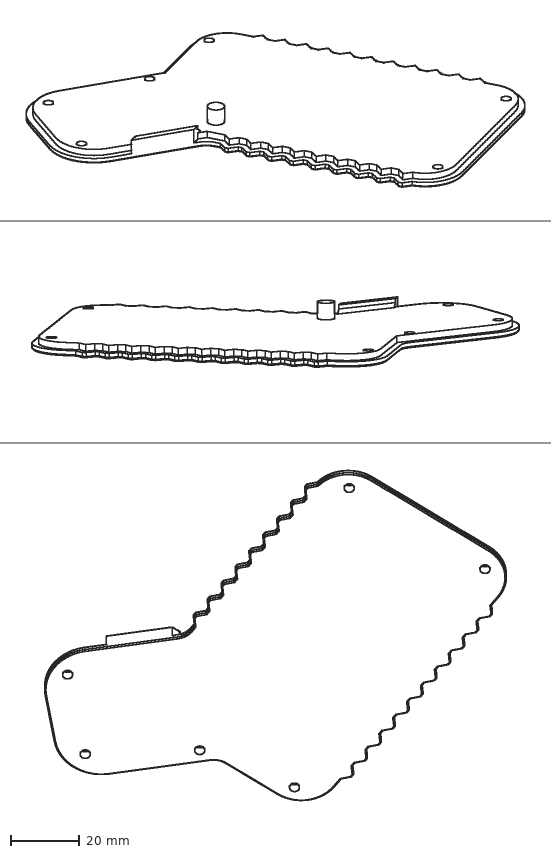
import cadquery as cq

BASE_TOP = 1.6
DECK_TOP = 3.6
TAB_TOP = 6.0
PIN_TOP = 8.5

STEP = 2.0
UNDERSIDE_CHAMFER = 0.4
NECK_FILLET = 6.0

BODY_LEFT = 27.1 + STEP
BODY_RIGHT = 133.5 - STEP
BODY_BOTTOM = 25.4 + STEP
BODY_TOP = 91.7 - STEP
BODY_RADIUS = 10.0
HANDLE_RADIUS = 12.0
HANDLE_LEFT_CORNER = (14.0, 25.6)
HANDLE_CORNER_SHIFT = 11.6
HANDLE_LENGTH = 64.1

TOOTH_HEIGHT = 2.0
TOOTH_FLANK = 2.3
BASE_TOOTH_TIP = 1.2
TOP_TEETH = 11
TOP_FIRST_TOOTH = 45.3
TOP_LAST_TOOTH = 115.0
TOOTH_PITCH = (TOP_LAST_TOOTH - TOP_FIRST_TOOTH) / (TOP_TEETH - 1)
BOTTOM_TEETH = 9
BOTTOM_FIRST_TOOTH = 64.0

SCREW_HOLE = 3.0
SCREW_POINTS = [
    (32.2, 82.3),
    (127.3, 82.7),
    (127.3, 33.7),
    (26.6, 52.1),
    (5.9, 25.6),
    (25.6, 5.1),
]

PIN_DIAMETER = 5.1
PIN_POINT = (55.7, 34.5)

TAB_LEFT = 40.0
TAB_RIGHT = 54.0
TAB_FOOT = 1.2

ROOT2 = 2 ** 0.5


def rounded_block(length, width, radius, height):
    """Centred block with rounded upright edges."""
    return cq.Workplane("XY").rect(length, width).extrude(height).edges("|Z").fillet(radius)


def body_block(margin, height):
    """Main body, grown outwards by the margin."""
    length = BODY_RIGHT - BODY_LEFT + 2 * margin
    width = BODY_TOP - BODY_BOTTOM + 2 * margin
    centre = ((BODY_LEFT + BODY_RIGHT) / 2, (BODY_BOTTOM + BODY_TOP) / 2, 0)
    return rounded_block(length, width, BODY_RADIUS + margin, height).translate(centre)


def handle_block(margin, height):
    """Handle, grown outwards by the margin and pointing up and right into the body."""
    radius = HANDLE_RADIUS + margin
    width = HANDLE_CORNER_SHIFT * ROOT2 + 2 * radius
    tip_x = HANDLE_LEFT_CORNER[0] + HANDLE_CORNER_SHIFT / 2
    tip_y = HANDLE_LEFT_CORNER[1] - HANDLE_CORNER_SHIFT / 2
    return (
        rounded_block(HANDLE_LENGTH, width, radius, height)
        .translate((HANDLE_LENGTH / 2 - radius, 0, 0))
        .rotate((0, 0, 0), (0, 0, 1), 45)
        .translate((tip_x, tip_y, 0))
    )


def tooth(x, edge_y, outward, margin, height):
    """One tooth on a body edge: sharp on the deck, blunt on the grown base plate."""
    tip_half = BASE_TOOTH_TIP / 2 if margin else 0
    root_half = tip_half + 2 * TOOTH_FLANK
    root_y = edge_y + outward * (margin - TOOTH_HEIGHT)
    tip_y = edge_y + outward * (margin + TOOTH_HEIGHT)
    outline = [(x - root_half, root_y), (x + root_half, root_y), (x + tip_half, tip_y)]
    if tip_half:
        outline.append((x - tip_half, tip_y))
    return cq.Workplane("XY").polyline(outline).close().extrude(height)


def plate(margin, height, neck_fillet):
    """Body, handle and teeth, grown outwards by the margin; a neck_fillet of 0 leaves the neck sharp."""
    shape = body_block(margin, height).union(handle_block(margin, height))
    if neck_fillet:
        for x, y in neck_corners(margin):
            corner = cq.selectors.NearestToPointSelector((x, y, height / 2))
            shape = shape.edges("|Z").edges(corner).fillet(neck_fillet)
    for i in range(TOP_TEETH):
        shape = shape.union(tooth(TOP_FIRST_TOOTH + i * TOOTH_PITCH, BODY_TOP, 1, margin, height))
    for i in range(BOTTOM_TEETH):
        shape = shape.union(tooth(BOTTOM_FIRST_TOOTH + i * TOOTH_PITCH, BODY_BOTTOM, -1, margin, height))
    return shape


def handle_side(margin):
    """Distance, measured along Y, from a handle corner centre to the nearby side."""
    return (HANDLE_RADIUS + margin) * ROOT2


def lower_side_y(x, margin):
    """Y of the handle's lower side at x."""
    corner_x = HANDLE_LEFT_CORNER[0] + HANDLE_CORNER_SHIFT
    corner_y = HANDLE_LEFT_CORNER[1] - HANDLE_CORNER_SHIFT
    return corner_y + (x - corner_x) - handle_side(margin)


def neck_corners(margin):
    """Inside corners where the two handle sides meet the body."""
    left = BODY_LEFT - margin
    upper_y = HANDLE_LEFT_CORNER[1] + (left - HANDLE_LEFT_CORNER[0]) + handle_side(margin)
    bottom = BODY_BOTTOM - margin
    lower_x = TAB_RIGHT + bottom - lower_side_y(TAB_RIGHT, margin)
    return [(left, upper_y), (lower_x, bottom)]


def tab_wall():
    """Upright slanted wall between the base's outer side and the deck's side."""
    points = [
        (TAB_LEFT, lower_side_y(TAB_LEFT, STEP)),
        (TAB_RIGHT, lower_side_y(TAB_RIGHT, STEP)),
        (TAB_RIGHT, lower_side_y(TAB_RIGHT, 0)),
        (TAB_LEFT, lower_side_y(TAB_LEFT, 0)),
    ]
    wall = cq.Workplane("XY").workplane(offset=UNDERSIDE_CHAMFER).polyline(points).close()
    return wall.extrude(TAB_TOP - UNDERSIDE_CHAMFER)


def tab_foot():
    """Sloped foot on the deck, running along the inner face of the wall."""
    side_y = lower_side_y(TAB_LEFT, 0)
    left_end = [
        (side_y, DECK_TOP),
        (side_y + TAB_FOOT * ROOT2, DECK_TOP),
        (side_y, DECK_TOP + TAB_FOOT),
    ]
    run = TAB_RIGHT - TAB_LEFT
    right_end = [(y + run, z) for y, z in left_end]
    left_face = cq.Workplane("YZ").workplane(offset=TAB_LEFT).polyline(left_end).close()
    return left_face.workplane(offset=run).polyline(right_end).close().loft(ruled=True)


base = plate(STEP, BASE_TOP, NECK_FILLET).faces("<Z").edges().chamfer(UNDERSIDE_CHAMFER)
deck = plate(0, DECK_TOP, 0)
pin = cq.Workplane("XY").center(*PIN_POINT).circle(PIN_DIAMETER / 2).extrude(PIN_TOP)
screw_holes = cq.Workplane("XY").pushPoints(SCREW_POINTS).circle(SCREW_HOLE / 2).extrude(DECK_TOP)

result = base.union(deck).union(tab_wall()).union(tab_foot()).union(pin).cut(screw_holes)